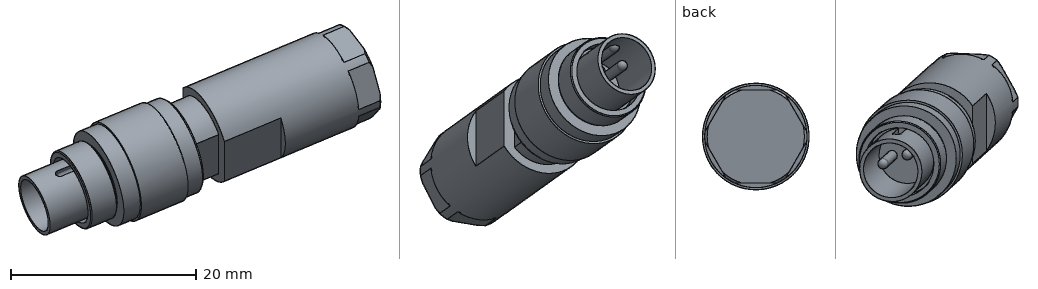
import cadquery as cq
import math

total_length = 40.0
collar_start = 4.5
collar_end = 7.7
sleeve_start = 7.95
band_start = 10.0
band_end = 15.8
sleeve_end = 17.95
body_start = 21.0
body_flat_end = 28.0
nut_start = 37.1

bore_radius = 3.0
barrel_radius = 3.45
recess_radius = 3.8
relief_radius = 4.1
collar_radius = 4.5
neck_radius = 4.5
sleeve_radius = 5.5
band_radius = 5.75
body_radius = 5.5

neck_flat_width = 6.55
body_flat_width = 9.05
nut_flat_width = 10.05
collar_chamfer = 0.1
sleeve_chamfer = 0.25
nut_chamfer = 0.3

bore_depth = 8.0
recess_depth = 1.6
pin_radius = 0.55
pin_circle_radius = 1.55
pin_tip_y = 2.8
pin_angles = (45.0, 180.0)
key_radius = 0.6
key_embed = 0.1
key_skin = 0.15
groove_radius = 0.45
groove_tip_y = 2.7


def cylinder(start, end, radius, x=0.0, z=0.0):
    """Cylinder parallel to Y between two axial positions."""
    base = cq.Workplane("XZ", origin=(x, start, z))
    return base.circle(radius).extrude(start - end)


def round_tipped_rod(tip, end, radius, x, z):
    """Rod parallel to Y with a hemispherical tip toward -Y."""
    plane = cq.Workplane("XY", origin=(x, 0, z))
    tip_center = tip + radius
    arc_offset = radius * math.sqrt(0.5)
    half_profile = (
        plane.moveTo(0, tip)
        .threePointArc((arc_offset, tip_center - arc_offset), (radius, tip_center))
        .lineTo(radius, end)
        .lineTo(0, end)
        .close()
    )
    return half_profile.revolve(360, (0, 0, 0), (0, 1, 0))


def flat_sided_cylinder(start, end, radius, flat_width):
    """Cylinder trimmed by two flats facing -X and +X."""
    slab = cq.Workplane("XY").box(flat_width, end - start, 2 * radius)
    slab = slab.translate((0, (start + end) / 2, 0))
    return cylinder(start, end, radius).intersect(slab)


def make_barrel_and_collar():
    collar = cylinder(collar_start, collar_end, collar_radius).edges().chamfer(collar_chamfer)
    recess = cylinder(collar_start, collar_start + recess_depth, recess_radius)
    barrel = cylinder(0, collar_end, barrel_radius)
    relief = cylinder(collar_end, sleeve_start, relief_radius)
    return collar.cut(recess).union(barrel).union(relief)


def make_sleeve():
    sleeve = cylinder(sleeve_start, sleeve_end, sleeve_radius).faces(">Y").edges().chamfer(sleeve_chamfer)
    return sleeve.union(cylinder(band_start, band_end, band_radius))


def make_body():
    neck = flat_sided_cylinder(sleeve_end, body_start, neck_radius, neck_flat_width)
    flatted = flat_sided_cylinder(body_start, body_flat_end, body_radius, body_flat_width)
    return neck.union(flatted).union(cylinder(body_flat_end, nut_start, body_radius))


def make_nut():
    """Round nut with six flats, two of them facing -Z and +Z."""
    round_nut = cylinder(nut_start, total_length, body_radius).faces(">Y").edges().chamfer(nut_chamfer)
    corner_diameter = nut_flat_width / math.cos(math.pi / 6)
    hexagon = cq.Workplane("XZ", origin=(0, nut_start, 0)).polygon(6, corner_diameter)
    return round_nut.intersect(hexagon.extrude(nut_start - total_length))


def make_pin(angle):
    x = pin_circle_radius * math.cos(math.radians(angle))
    z = pin_circle_radius * math.sin(math.radians(angle))
    return round_tipped_rod(pin_tip_y, bore_depth, pin_radius, x, z)


def make_key():
    """Half-round ridge projecting into the bore, its flat top buried in the barrel wall."""
    key_tip = groove_tip_y - key_skin
    key_top = bore_radius + key_embed
    rod = round_tipped_rod(key_tip, bore_depth, key_radius, 0, bore_radius)
    lower_space = cq.Workplane("XY").box(4 * key_radius, 2 * total_length, key_top, centered=(True, True, False))
    return rod.intersect(lower_space)


def make_groove():
    """Straight-walled groove with a round floor and a round tip, opening toward +Z."""
    groove_end = collar_start + recess_depth
    tip_center = groove_tip_y + groove_radius
    floor = round_tipped_rod(groove_tip_y, groove_end, groove_radius, 0, bore_radius)
    plane = cq.Workplane("XY", origin=(0, 0, bore_radius))
    outline = (
        plane.moveTo(-groove_radius, groove_end)
        .lineTo(-groove_radius, tip_center)
        .threePointArc((0, groove_tip_y), (groove_radius, tip_center))
        .lineTo(groove_radius, groove_end)
        .close()
    )
    return floor.union(outline.extrude(recess_radius - bore_radius))


result = make_barrel_and_collar().union(make_sleeve()).union(make_body()).union(make_nut())
result = result.cut(cylinder(0, bore_depth, bore_radius))
result = result.union(make_key()).cut(make_groove())

for pin_angle in pin_angles:
    result = result.union(make_pin(pin_angle))